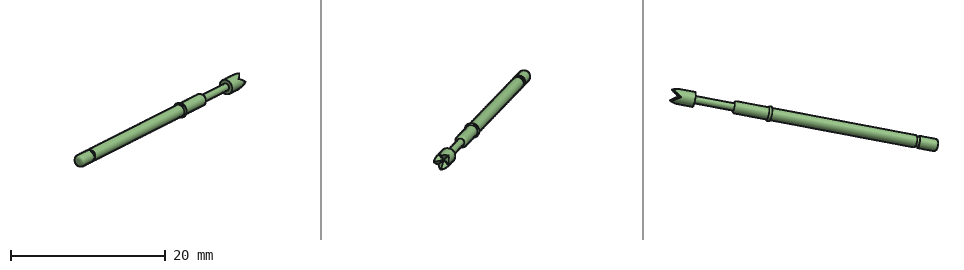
import cadquery as cq
import math

LENGTH = 35.7

BARREL_R = 0.82
NECK_R = 0.68
RIB_R = 1.0
ROD_R = 0.5
CROWN_R = 1.0
TAIL_FACE_R = 0.35

TAIL_CAP_END = 2.55
NECK_LENGTH = 0.32
BARREL_END = 27.38
RIB_CENTRE = 22.6
RIB_WIDTH = 0.43
CROWN_LENGTH = 2.95
NOTCH_DEPTH = 1.07

TAIL_ROUND = BARREL_R - TAIL_FACE_R
BARREL_ROUND = 0.3


def rod(radius, start, end):
    """Solid cylinder around the Y axis from start to end."""
    return cq.Workplane("XZ", origin=(0, start, 0)).circle(radius).extrude(start - end)


def make_barrel():
    """Rounded tail cap, narrow neck and long barrel rounded at both ends."""
    tail_cap = rod(BARREL_R, 0, TAIL_CAP_END).faces("<Y").edges().fillet(TAIL_ROUND)
    barrel_start = TAIL_CAP_END + NECK_LENGTH
    neck = rod(NECK_R, TAIL_CAP_END, barrel_start + BARREL_ROUND)
    barrel = rod(BARREL_R, barrel_start, BARREL_END)
    barrel = barrel.faces("<Y or >Y").edges().fillet(BARREL_ROUND)
    return tail_cap.union(neck).union(barrel)


def make_rib():
    """Press ring around the barrel with a half-round rim."""
    half_width = RIB_WIDTH / 2
    rim_start_r = RIB_R - half_width
    return (
        cq.Workplane("XY")
        .moveTo(0, RIB_CENTRE - half_width)
        .lineTo(rim_start_r, RIB_CENTRE - half_width)
        .threePointArc((RIB_R, RIB_CENTRE), (rim_start_r, RIB_CENTRE + half_width))
        .lineTo(0, RIB_CENTRE + half_width)
        .close()
        .revolve(360, (0, 0, 0), (0, 1, 0))
    )


def make_crown():
    """Cylindrical head with points at +X, -X, +Z and -Z, left by two crossing V notches."""
    crown = rod(CROWN_R, LENGTH - CROWN_LENGTH, LENGTH)
    notch_half_width = CROWN_R / math.sqrt(2)
    overshoot = 2.0
    cutter_half_width = notch_half_width * overshoot
    cutter_top = LENGTH + NOTCH_DEPTH * (overshoot - 1)
    cutter = (
        cq.Workplane("XY")
        .moveTo(0, LENGTH - NOTCH_DEPTH)
        .lineTo(cutter_half_width, cutter_top)
        .lineTo(-cutter_half_width, cutter_top)
        .close()
        .extrude(2 * CROWN_R, both=True)
    )
    for angle in (45, -45):
        crown = crown.cut(cutter.rotate((0, 0, 0), (0, 1, 0), angle))
    return crown


plunger = rod(ROD_R, BARREL_END, LENGTH - CROWN_LENGTH)
result = make_barrel().union(make_rib()).union(plunger).union(make_crown())